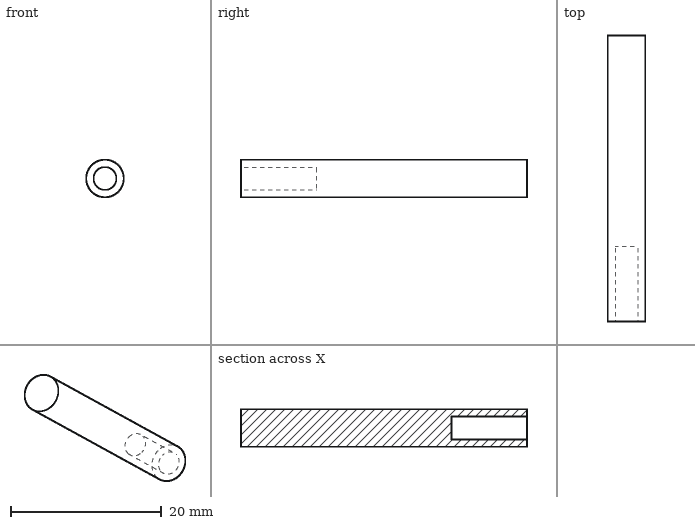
import cadquery as cq

length = 38.0
outer_diameter = 5.0
bore_diameter = 3.05
bore_depth = 2 * outer_diameter

pin = cq.Workplane("XZ", origin=(0, length / 2, 0)).circle(outer_diameter / 2).extrude(length)

result = pin.faces("<Y").workplane().hole(bore_diameter, bore_depth)